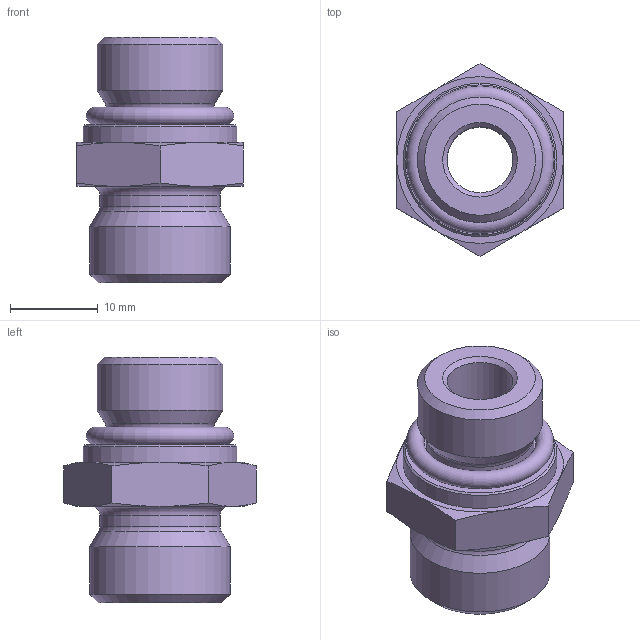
import cadquery as cq
import math

total_height = 28.0
hex_bottom = 11.0
hex_top = 16.0
collar_top = 18.0

lower_thread_radius = 16.0 / 2
lower_neck_radius = 13.7 / 2
lower_thread_top = 6.42
lower_end_chamfer = 1.0

upper_thread_radius = 14.29 / 2
upper_neck_radius = 12.24 / 2
upper_thread_bottom = 21.93
upper_end_chamfer = 0.82

runout_angle = math.radians(30)
undercut_fillet = 1.0
fillet_tangent = undercut_fillet * math.tan(runout_angle / 2)

across_flats = 19.0
hex_half_sector = 30.0
hex_chamfer_angle = math.radians(15)
collar_radius = 17.5 / 2
collar_chamfer = 0.2

bore_radius = 7.5 / 2
bore_chamfer = 0.5

ring_section_radius = 1.0
ring_outer_radius = 8.4


def runout_height(thread_radius, neck_radius):
    """Height of the run-out cone, down to its sharp meeting with the neck."""
    return (thread_radius - neck_radius) / math.tan(runout_angle)


def runout_points(corner_z, neck_radius, toward_thread):
    """Cone tangent, middle and neck tangent points of the fillet between run-out cone and neck.

    toward_thread is +1 if the thread lies above the neck and -1 if it lies below.
    """
    center_x = neck_radius + undercut_fillet
    center_z = corner_z - toward_thread * fillet_tangent

    def on_fillet(angle):
        return (
            center_x - undercut_fillet * math.cos(angle),
            center_z + toward_thread * undercut_fillet * math.sin(angle),
        )

    return on_fillet(runout_angle), on_fillet(runout_angle / 2), on_fillet(0)


def make_turned_profile():
    """Solid of revolution of the fitting, without hexagon and bore."""
    lower_corner_z = lower_thread_top + runout_height(lower_thread_radius, lower_neck_radius)
    upper_corner_z = upper_thread_bottom - runout_height(upper_thread_radius, upper_neck_radius)
    lower_cone, lower_mid, lower_neck = runout_points(lower_corner_z, lower_neck_radius, -1)
    upper_cone, upper_mid, upper_neck = runout_points(upper_corner_z, upper_neck_radius, 1)
    shoulder_mid = undercut_fillet * (1 - math.cos(math.radians(45)))

    return (
        cq.Workplane("XZ")
        .moveTo(0, 0)
        .lineTo(lower_thread_radius - lower_end_chamfer, 0)
        .lineTo(lower_thread_radius, lower_end_chamfer)
        .lineTo(lower_thread_radius, lower_thread_top)
        .lineTo(*lower_cone)
        .threePointArc(lower_mid, lower_neck)
        .lineTo(lower_neck_radius, hex_bottom - undercut_fillet)
        .threePointArc(
            (lower_neck_radius + shoulder_mid, hex_bottom - shoulder_mid),
            (lower_neck_radius + undercut_fillet, hex_bottom),
        )
        .lineTo(collar_radius, hex_bottom)
        .lineTo(collar_radius, collar_top - collar_chamfer)
        .lineTo(collar_radius - collar_chamfer, collar_top)
        .lineTo(upper_neck_radius, collar_top)
        .lineTo(*upper_neck)
        .threePointArc(upper_mid, upper_cone)
        .lineTo(upper_thread_radius, upper_thread_bottom)
        .lineTo(upper_thread_radius, total_height - upper_end_chamfer)
        .lineTo(upper_thread_radius - upper_end_chamfer, total_height)
        .lineTo(0, total_height)
        .close()
        .revolve(360, (0, 0), (0, 1))
    )


def make_hexagon():
    """Hexagon with flats facing +X and -X, its corners bevelled at both ends."""
    flat_radius = across_flats / 2
    corner_radius = flat_radius / math.cos(math.radians(hex_half_sector))
    corner_drop = (corner_radius - flat_radius) * math.tan(hex_chamfer_angle)
    prism = (
        cq.Workplane("XY", origin=(0, 0, hex_bottom))
        .polygon(6, 2 * corner_radius)
        .extrude(hex_top - hex_bottom)
        .rotate((0, 0, 0), (0, 0, 1), hex_half_sector)
    )
    bevel = (
        cq.Workplane("XZ")
        .moveTo(0, hex_bottom)
        .lineTo(flat_radius, hex_bottom)
        .lineTo(corner_radius, hex_bottom + corner_drop)
        .lineTo(corner_radius, hex_top - corner_drop)
        .lineTo(flat_radius, hex_top)
        .lineTo(0, hex_top)
        .close()
        .revolve(360, (0, 0), (0, 1))
    )
    return prism.intersect(bevel)


def make_bore():
    """Through bore with a chamfered upper mouth."""
    return (
        cq.Workplane("XZ")
        .moveTo(0, 0)
        .lineTo(bore_radius, 0)
        .lineTo(bore_radius, total_height - bore_chamfer)
        .lineTo(bore_radius + bore_chamfer, total_height)
        .lineTo(0, total_height)
        .close()
        .revolve(360, (0, 0), (0, 1))
    )


def make_sealing_ring():
    """O-ring lying on top of the collar, around the upper neck."""
    center_radius = ring_outer_radius - ring_section_radius
    return (
        cq.Workplane("XZ")
        .center(center_radius, collar_top + ring_section_radius)
        .circle(ring_section_radius)
        .revolve(360, (-center_radius, 0), (-center_radius, 1))
    )


fitting = make_turned_profile().union(make_hexagon()).cut(make_bore())
sealing_ring = make_sealing_ring()

result = cq.Compound.makeCompound([fitting.solids().val(), sealing_ring.solids().val()])